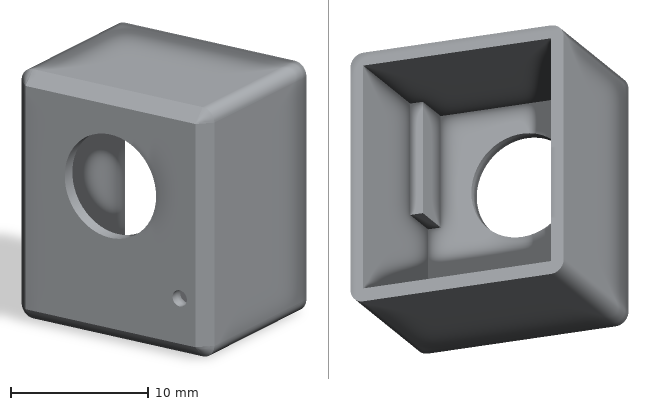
import cadquery as cq

width = 16.89
depth = 13.1
height = 19.3

edge = 1.0
wall = 1.0

window_diameter = 8.0
window_z = 2.35
pin_hole_diameter = 1.25
pin_hole_x = 6.08
pin_hole_z = -5.13

pad_thickness = 1.0
pad_length = 3.32
pad_bottom_z = 0.0

front_y = -depth / 2
bevel_back_y = front_y + edge
core_width = width - 2 * edge
core_height = height - 2 * edge


def block(size_x, size_z, start_y):
    """Rectangular block centred in X and Z, from start_y to the open back."""
    length = depth / 2 - start_y
    return cq.Workplane("XY").box(size_x, length, size_z).translate((0, start_y + length / 2, 0))


def corner_post():
    """Quarter-round post for the +X, -Z corner; its front end is a cone tipped on the front face."""
    post_profile = (
        cq.Workplane("XY")
        .moveTo(0, front_y)
        .lineTo(edge, bevel_back_y)
        .lineTo(edge, depth / 2)
        .lineTo(0, depth / 2)
        .close()
    )
    post = post_profile.revolve(90, (0, 0, 0), (0, 1, 0))
    return post.translate((core_width / 2, 0, -core_height / 2))


def front_hole(diameter, x, z):
    """Cutter for a round hole through the front wall."""
    return (
        cq.Workplane("XZ", origin=(x, front_y + wall, z))
        .circle(diameter / 2)
        .extrude(wall)
    )


upright = block(core_width, height, front_y).faces("<Y").edges("|X").chamfer(edge)
crosswise = block(width, core_height, front_y).faces("<Y").edges("|Z").chamfer(edge)
body = upright.union(crosswise)
right_posts = corner_post().union(corner_post().mirror("XY"))
body = body.union(right_posts).union(right_posts.mirror("YZ"))

body = body.cut(block(width - 2 * wall, height - 2 * wall, front_y + wall))

pad_height = height / 2 - wall - pad_bottom_z
pad = (
    cq.Workplane("XY")
    .box(pad_thickness, pad_length, pad_height, centered=False)
    .translate((width / 2 - wall - pad_thickness, front_y + wall, pad_bottom_z))
)
body = body.union(pad)

body = body.cut(front_hole(window_diameter, 0, window_z))
result = body.cut(front_hole(pin_hole_diameter, pin_hole_x, pin_hole_z))